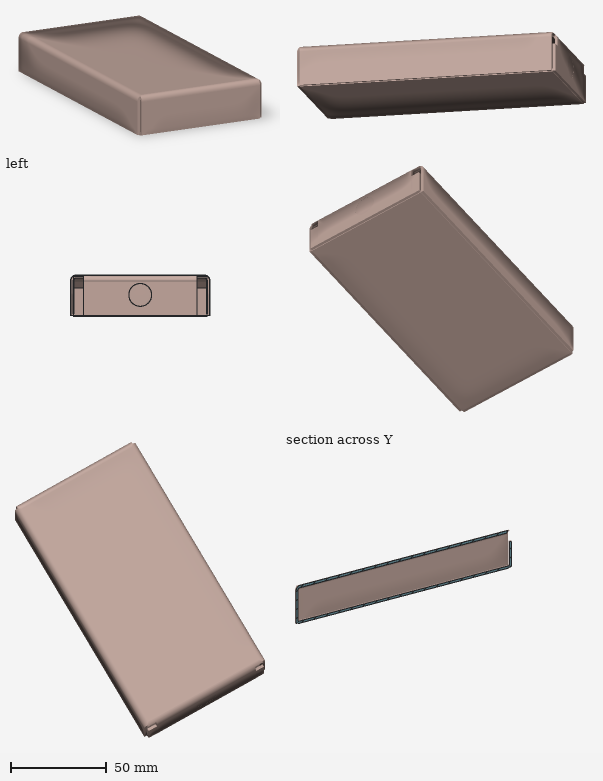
import cadquery as cq

length = 139.0
width = 73.0
height = 21.7

sheet = 1.5
bend_radius = 2 * sheet
floor_drop = 0.4
shell_height = height - floor_drop
corner_relief = 1.7

tab_width = 5.0
notch_top_drop = 0.8
notch_bottom_drop = 6.7

mark_depth = 0.07
disc_diameter = 12.0
disc_drop = 10.4

flange_half_width = width / 2 - corner_relief
tab_centre = flange_half_width - tab_width / 2


def rounded_bar(run, span, tall, radius):
    """Bar along X with its two upper long edges rounded, standing on the flange ends."""
    bar = cq.Workplane("XY", origin=(0, 0, floor_drop)).box(run, span, tall, centered=(True, True, False))
    return bar.edges("|X and >Z").fillet(radius)


def mitred_block(size_x, size_y, tall, radius):
    """Block whose four rounded upper edges meet in mitres."""
    along_x = rounded_bar(size_x, size_y, tall, radius)
    along_y = rounded_bar(size_y, size_x, tall, radius).rotate((0, 0, 0), (0, 0, 1), 90)
    return along_x.intersect(along_y)


def hood():
    """Top sheet with four flanges folded down and open slots at the corners."""
    outer = mitred_block(length, width, shell_height, bend_radius)
    inner = mitred_block(
        length - 2 * sheet, width - 2 * sheet, shell_height - sheet, bend_radius - sheet
    )
    corner_cuts = (
        cq.Workplane("XY")
        .rect(length - corner_relief, width - corner_relief, forConstruction=True)
        .vertices()
        .rect(corner_relief, corner_relief)
        .extrude(height)
    )
    return outer.cut(inner).cut(corner_cuts)


def floor_plate():
    """Plate closing the underside between the flanges."""
    return cq.Workplane("XY").rect(length - 2 * sheet, width - 2 * sheet).extrude(sheet)


def left_cut(y, bottom, top, depth):
    """Tab-wide block reaching inward from the left face."""
    return (
        cq.Workplane("XY", origin=(-length / 2, y, bottom))
        .box(depth, tab_width, top - bottom, centered=(False, True, False))
    )


def disc_recess():
    """Shallow round recess in the middle of the left flange."""
    return (
        cq.Workplane("YZ", origin=(-length / 2, 0, height - disc_drop))
        .circle(disc_diameter / 2)
        .extrude(mark_depth)
    )


notch_bottom = height - notch_bottom_drop
notch_top = height - notch_top_drop

result = hood().union(floor_plate()).cut(disc_recess())
for tab_y in (-tab_centre, tab_centre):
    result = result.cut(left_cut(tab_y, notch_bottom, notch_top, bend_radius))
    result = result.cut(left_cut(tab_y, floor_drop, notch_bottom, mark_depth))